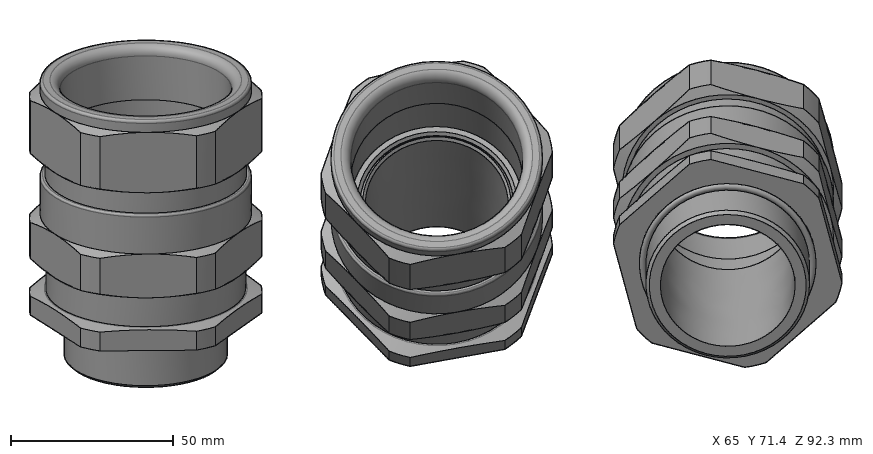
import cadquery as cq
import math

TOTAL_HEIGHT = 92.35
ACROSS_FLATS = 65.0
CORNER_RADIUS = 35.7
COLLAR_RADIUS = ACROSS_FLATS / 2
HEX_CHAMFER_DROP = 1.3

SPIGOT_TOP = 14.6
ENTRY_HEX_BOTTOM = 15.8
ENTRY_HEX_TOP = 23.0
SLEEVE_BOTTOM = 33.3
SLEEVE_HEX_TOP = 47.9
BORE_LEDGE = 58.5
SLEEVE_COLLAR_TOP = 60.95
NUT_BOTTOM = 68.3
SLEEVE_TOP = 74.7
NUT_HEX_TOP = 88.5

SPIGOT_RADIUS = 25.1
SPIGOT_CHAMFER = 1.0
ENTRY_NECK_RADIUS = 30.75
ENTRY_SHOULDER_RADIUS = 31.2
ENTRY_CHAMFER_DROP = 0.9
TUBE_RADIUS = 23.6
TUBE_RIM_CHAMFER = 0.8
TUBE_BORE_TOP_RADIUS = TUBE_RADIUS - 2 * TUBE_RIM_CHAMFER
TUBE_BORE_BOTTOM_RADIUS = 20.7
TUBE_TOP = 58.6

RING_WIRE_RADIUS = 1.0
RING_CENTRE_RADIUS = SPIGOT_RADIUS + RING_WIRE_RADIUS
RING_CENTRE_HEIGHT = SPIGOT_TOP + RING_WIRE_RADIUS

SLEEVE_NECK_RADIUS = 31.0
CABLE_BORE_RADIUS = 26.4
LEDGE_RADIUS = 24.7
COLLAR_EDGE_FILLET = 0.7

NUT_EDGE_FILLET = 0.9
MOUTH_FILLET = 3.05


def revolve_profile(points):
    """Solid of revolution about Z from (radius, height) points."""
    return cq.Workplane("XZ").polyline(points).close().revolve(360, (0, 0, 0), (0, 1, 0))


def hexagon(bottom, top, envelope_points):
    """Hexagonal bar with corners on the Y axis, turned down to a round envelope."""
    across_corners = ACROSS_FLATS / math.cos(math.pi / 6)
    bar = (
        cq.Workplane("XY")
        .workplane(offset=bottom)
        .polygon(6, across_corners)
        .extrude(top - bottom)
        .rotate((0, 0, 0), (0, 0, 1), 30)
    )
    return bar.intersect(revolve_profile(envelope_points))


def double_chamfered_hexagon(bottom, top):
    """Hexagon whose corners are chamfered at both ends down to the flats."""
    return hexagon(bottom, top, [
        (0, bottom),
        (COLLAR_RADIUS, bottom),
        (CORNER_RADIUS, bottom + HEX_CHAMFER_DROP),
        (CORNER_RADIUS, top - HEX_CHAMFER_DROP),
        (COLLAR_RADIUS, top),
        (0, top),
    ])


def cylinder(radius, bottom, top):
    """Upright cylinder on the Z axis."""
    return cq.Workplane("XY").workplane(offset=bottom).circle(radius).extrude(top - bottom)


def make_entry_body():
    """Spigot, thin hexagon, neck and the inner tube that reaches up into the sleeve."""
    wrench_hexagon = hexagon(ENTRY_HEX_BOTTOM, ENTRY_HEX_TOP, [
        (0, ENTRY_HEX_BOTTOM),
        (CORNER_RADIUS, ENTRY_HEX_BOTTOM),
        (CORNER_RADIUS, ENTRY_HEX_TOP - ENTRY_CHAMFER_DROP),
        (ENTRY_SHOULDER_RADIUS, ENTRY_HEX_TOP),
        (0, ENTRY_HEX_TOP),
    ])
    spigot = cylinder(SPIGOT_RADIUS, 0, ENTRY_HEX_TOP).faces("<Z").chamfer(SPIGOT_CHAMFER)
    neck = cylinder(ENTRY_NECK_RADIUS, ENTRY_HEX_BOTTOM, SLEEVE_BOTTOM)
    rim_side = TUBE_TOP - TUBE_RIM_CHAMFER
    tube = revolve_profile([
        (0, ENTRY_HEX_TOP),
        (TUBE_RADIUS, ENTRY_HEX_TOP),
        (TUBE_RADIUS, rim_side),
        (TUBE_RADIUS - TUBE_RIM_CHAMFER, TUBE_TOP),
        (TUBE_BORE_TOP_RADIUS, rim_side),
        (0, rim_side),
    ])
    bore = revolve_profile([
        (0, 0),
        (TUBE_BORE_BOTTOM_RADIUS, 0),
        (TUBE_BORE_TOP_RADIUS, rim_side),
        (0, rim_side),
    ])
    ring_recess = cylinder(
        RING_CENTRE_RADIUS + RING_WIRE_RADIUS,
        ENTRY_HEX_BOTTOM,
        RING_CENTRE_HEIGHT + RING_WIRE_RADIUS,
    )
    return wrench_hexagon.union(neck).cut(ring_recess).union(spigot).union(tube).cut(bore)


def make_sealing_ring():
    """Round-section ring around the spigot, seated in the recess under the hexagon."""
    return (
        cq.Workplane("XZ")
        .center(RING_CENTRE_RADIUS, RING_CENTRE_HEIGHT)
        .circle(RING_WIRE_RADIUS)
        .revolve(360, (-RING_CENTRE_RADIUS, 0, 0), (-RING_CENTRE_RADIUS, 1, 0))
    )


def make_sleeve():
    """Middle hexagon with a round collar and a neck that carries the nut."""
    collar = cylinder(COLLAR_RADIUS, SLEEVE_HEX_TOP, SLEEVE_COLLAR_TOP)
    collar = collar.faces(">Z").edges().fillet(COLLAR_EDGE_FILLET)
    neck = cylinder(SLEEVE_NECK_RADIUS, SLEEVE_HEX_TOP, SLEEVE_TOP)
    lead_in = LEDGE_RADIUS - TUBE_RADIUS
    bore = revolve_profile([
        (0, SLEEVE_BOTTOM),
        (TUBE_RADIUS, SLEEVE_BOTTOM),
        (TUBE_RADIUS, BORE_LEDGE - lead_in),
        (LEDGE_RADIUS, BORE_LEDGE),
        (CABLE_BORE_RADIUS, BORE_LEDGE),
        (CABLE_BORE_RADIUS, SLEEVE_TOP),
        (0, SLEEVE_TOP),
    ])
    body = double_chamfered_hexagon(SLEEVE_BOTTOM, SLEEVE_HEX_TOP)
    return body.union(collar).union(neck).cut(bore)


def make_nut():
    """Upper hexagon nut with a round rim and a rounded cable mouth."""
    rim = cylinder(COLLAR_RADIUS, NUT_HEX_TOP, TOTAL_HEIGHT)
    rim = rim.faces(">Z").edges().fillet(NUT_EDGE_FILLET)
    bore = cylinder(CABLE_BORE_RADIUS, NUT_BOTTOM, TOTAL_HEIGHT)
    counterbore = cylinder(SLEEVE_NECK_RADIUS, NUT_BOTTOM, SLEEVE_TOP)
    nut = double_chamfered_hexagon(NUT_BOTTOM, NUT_HEX_TOP).union(rim).cut(bore).cut(counterbore)
    mouth_edge = nut.faces(">Z").edges(cq.selectors.RadiusNthSelector(0))
    return mouth_edge.fillet(MOUTH_FILLET)


entry_body = make_entry_body()
sealing_ring = make_sealing_ring()
sleeve = make_sleeve()
nut = make_nut()

result = cq.Compound.makeCompound([
    entry_body.val(),
    sealing_ring.val(),
    sleeve.val(),
    nut.val(),
])